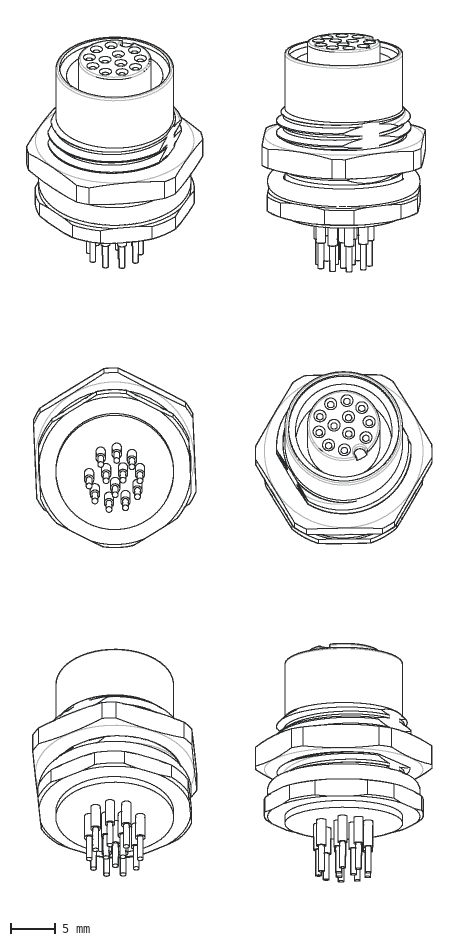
import cadquery as cq
import math


housing_radius = 6.65
housing_top = 18.8
rim_edge_radius = 0.2

mouth_radius = 6.22
mouth_depth = 0.55
bore_radius = 5.44
taper_bottom = housing_top - 1.05
cavity_floor = 12.3

insert_radius = 4.1
insert_top = 20.0
insert_edge_radius = 0.2
key_width = 1.31
key_center_y = 3.58
key_depth = 3.0

seal_bulge = 0.6

outer_circle_radius = 2.89
outer_contacts = 9
outer_pitch_angle = 37.7
inner_circle_radius = 1.1
inner_contacts = 3
socket_radius = 0.365
socket_mouth_radius = 0.68
socket_depth = 4.0
pin_radius = 0.53
pin_length = 3.0
tail_radius = 0.33
tail_length = 3.0

flange_bottom = 0.8
flange_height = 2.0
flange_across_flats = 17.0
flange_corner_radius = 9.0
flange_face_radius = 8.6
flange_bevel_angle = 22.0

ring_section_radius = 1.0
ring_outer_radius = 8.65
ring_squeeze = 0.02

thread_bottom = 5.0
thread_top = 12.28
thread_radius = 7.6
thread_root_radius = 6.84
thread_pitch = 1.41
thread_crest_width = 0.15
thread_root_width = 0.33
groove_start_z = 3.515
groove_turns = 6.5
flat_distance = 6.75

nut_bottom = 6.3
nut_height = 2.78
nut_across_flats = 18.0
nut_corner_radius = 9.975
nut_face_radius = 8.95
nut_bevel_angle = 15.0


def cylinder(radius, bottom, top):
    return cq.Workplane("XY").workplane(offset=bottom).circle(radius).extrude(top - bottom)


def revolve_profile(profile):
    """Turn a closed (radius, z) profile about the Z axis."""
    return profile.close().revolve(360, (0, 0, 0), (0, 1, 0))


def beveled_hexagon(across_flats, corner_radius, face_radius, bevel_angle, bottom, height):
    """Hexagonal prism with flats on the X sides, trimmed by a disc with conical bevels."""
    top = bottom + height
    bevel = (corner_radius - face_radius) * math.tan(math.radians(bevel_angle))
    prism = (
        cq.Workplane("XY")
        .workplane(offset=bottom)
        .polygon(6, across_flats, circumscribed=True)
        .extrude(height)
    )
    disc = revolve_profile(
        cq.Workplane("XZ")
        .moveTo(0, bottom)
        .lineTo(face_radius, bottom)
        .lineTo(corner_radius, bottom + bevel)
        .lineTo(corner_radius, top - bevel)
        .lineTo(face_radius, top)
        .lineTo(0, top)
    )
    return prism.intersect(disc)


def make_housing():
    return cylinder(housing_radius, 0, housing_top).faces(">Z").edges().fillet(rim_edge_radius)


def make_o_ring():
    center_radius = ring_outer_radius - ring_section_radius - ring_squeeze
    center_z = flange_bottom + flange_height + ring_section_radius - ring_squeeze
    return (
        cq.Workplane("XZ")
        .center(-center_radius, center_z)
        .circle(ring_section_radius)
        .revolve(360, (center_radius, 0, 0), (center_radius, 1, 0))
    )


def make_thread_groove():
    """Right-handed helical groove with a narrow flat root."""
    flank_width = (thread_pitch - thread_crest_width - thread_root_width) / 2
    flank_slope = flank_width / (thread_radius - thread_root_radius)
    overshoot = 0.08
    mouth = thread_radius + overshoot
    half_root = thread_root_width / 2
    half_mouth = half_root + flank_slope * (mouth - thread_root_radius)
    helix = cq.Wire.makeHelix(thread_pitch, groove_turns * thread_pitch, thread_root_radius)
    groove = (
        cq.Workplane("XZ")
        .moveTo(thread_root_radius, -half_root)
        .lineTo(mouth, -half_mouth)
        .lineTo(mouth, half_mouth)
        .lineTo(thread_root_radius, half_root)
        .close()
        .sweep(cq.Workplane(helix), isFrenet=True)
    )
    return groove.translate((0, 0, groove_start_z))


def make_thread():
    """Threaded collar with 45 degree chamfered ends and a flat on each X side."""
    end_chamfer = thread_radius - housing_radius
    collar = cylinder(thread_radius, thread_bottom, thread_top)
    envelope = (
        collar.faces("<Z or >Z")
        .edges()
        .chamfer(end_chamfer)
        .intersect(cq.Workplane("XY").box(2 * flat_distance, 2 * thread_radius, 2 * thread_top))
    )
    return collar.cut(make_thread_groove()).intersect(envelope)


def make_cavity():
    """Ring-shaped space around the insert, with a tapered mouth and a domed seal at the floor."""
    clear_top = insert_top + 1
    middle_radius = (insert_radius + bore_radius) / 2
    return revolve_profile(
        cq.Workplane("XZ")
        .moveTo(insert_radius, cavity_floor)
        .threePointArc((middle_radius, cavity_floor + seal_bulge), (bore_radius, cavity_floor))
        .lineTo(bore_radius, taper_bottom)
        .lineTo(mouth_radius, housing_top - mouth_depth)
        .lineTo(mouth_radius, clear_top)
        .lineTo(insert_radius, clear_top)
    )


def make_insert():
    """Contact insert with a round-ended key slot on the +Y side and a rounded top edge."""
    insert = cylinder(insert_radius, cavity_floor, insert_top)
    slot_bottom = insert_top - key_depth
    slot_end = cylinder(key_width / 2, slot_bottom, insert_top).translate((0, key_center_y, 0))
    slot_side = cq.Workplane("XY").box(key_width, insert_radius, key_depth, centered=(True, False, False))
    slot = slot_end.union(slot_side.translate((0, key_center_y, slot_bottom)))
    return insert.cut(slot).faces(">Z").edges().fillet(insert_edge_radius)


def on_circle(radius, angle):
    return (radius * math.cos(math.radians(angle)), radius * math.sin(math.radians(angle)))


def contact_places():
    outer = [
        on_circle(outer_circle_radius, -90 + outer_pitch_angle * (i - outer_contacts // 2))
        for i in range(outer_contacts)
    ]
    inner = [on_circle(inner_circle_radius, 90 + i * 360 / inner_contacts) for i in range(inner_contacts)]
    return outer + inner


def make_socket():
    """Blind contact hole with a 45 degree lead-in."""
    lead_in = socket_mouth_radius - socket_radius
    bottom = insert_top - socket_depth
    return revolve_profile(
        cq.Workplane("XZ")
        .moveTo(0, bottom)
        .lineTo(socket_radius, bottom)
        .lineTo(socket_radius, insert_top - lead_in)
        .lineTo(socket_mouth_radius, insert_top)
        .lineTo(0, insert_top)
    )


def make_pin():
    return cylinder(pin_radius, -pin_length, 0).union(
        cylinder(tail_radius, -pin_length - tail_length, -pin_length)
    )


flange = beveled_hexagon(
    flange_across_flats,
    flange_corner_radius,
    flange_face_radius,
    flange_bevel_angle,
    flange_bottom,
    flange_height,
)
nut = beveled_hexagon(
    nut_across_flats,
    nut_corner_radius,
    nut_face_radius,
    nut_bevel_angle,
    nut_bottom,
    nut_height,
)

result = make_housing().union(make_thread()).union(nut).union(flange).union(make_o_ring())
result = result.cut(make_cavity()).union(make_insert())

socket = make_socket()
pin = make_pin()
for x, y in contact_places():
    result = result.cut(socket.translate((x, y, 0))).union(pin.translate((x, y, 0)))